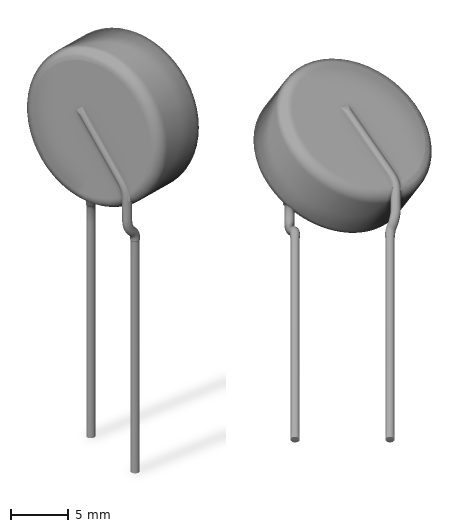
import cadquery as cq
import math

TOTAL_HEIGHT = 40.0
DISC_DIAMETER = 15.0
DISC_THICKNESS = 6.4
DISC_EDGE_RADIUS = 1.0
disc_radius = DISC_DIAMETER / 2
disc_face = DISC_THICKNESS / 2

TOTAL_THICKNESS = 6.8
COATED_DIAMETER = 0.9
BARE_DIAMETER = 0.8
LEAD_OFFSET_X = DISC_DIAMETER / 4
BARE_OFFSET_Y = 1.8
coated_radius = COATED_DIAMETER / 2
bare_radius = BARE_DIAMETER / 2
lead_height = TOTAL_THICKNESS / 2 - disc_face
coated_offset_y = TOTAL_THICKNESS / 2 - coated_radius

CORNER_DROP = 4.9
SLANT_OVERRUN = 2.15
SLANT_BEND_RADIUS = 2.6
FACE_FILLET = 0.3
END_RAMP_LENGTH = 0.5
slant_angle = math.atan2(LEAD_OFFSET_X, CORNER_DROP)
slant_sin = math.sin(slant_angle)
slant_cos = math.cos(slant_angle)
slant_tangent = SLANT_BEND_RADIUS * math.tan(slant_angle / 2)

CRIMP_TOP_DROP = 7.8
CRIMP_ANGLE = math.radians(57)
UPPER_CRIMP_RADIUS = 1.6
COATED_TAIL = 0.1
COATING_TAPER = 0.1
crimp_shift = coated_offset_y - BARE_OFFSET_Y
lower_crimp_radius = crimp_shift / (1 - math.cos(CRIMP_ANGLE)) - UPPER_CRIMP_RADIUS

lead_bottom = disc_radius - TOTAL_HEIGHT
slant_bend_bottom = -CORNER_DROP - slant_tangent
crimp_bottom = -CRIMP_TOP_DROP - (UPPER_CRIMP_RADIUS + lower_crimp_radius) * math.sin(CRIMP_ANGLE)
coated_bottom = crimp_bottom - COATED_TAIL
taper_bottom = coated_bottom - COATING_TAPER

slant_start = (-SLANT_OVERRUN * slant_sin, SLANT_OVERRUN * slant_cos)
slant_end = (
    LEAD_OFFSET_X - slant_tangent * slant_sin,
    -CORNER_DROP + slant_tangent * slant_cos,
)


def make_disc():
    disc = cq.Workplane("XZ", origin=(0, disc_face, 0)).circle(disc_radius).extrude(DISC_THICKNESS)
    return disc.edges().fillet(DISC_EDGE_RADIUS)


def slant_edges():
    """Centre line of the slanted run and its bend, down to where the wire hangs straight."""
    y = -coated_offset_y
    start = cq.Vector(slant_start[0], y, slant_start[1])
    bend_start = cq.Vector(slant_end[0], y, slant_end[1])
    bend_end = cq.Vector(LEAD_OFFSET_X, y, slant_bend_bottom)
    direction = cq.Vector(slant_sin, 0, -slant_cos)
    return [
        cq.Edge.makeLine(start, bend_start),
        cq.Edge.makeTangentArc(bend_start, direction, bend_end),
    ]


def hanging_edges():
    """Centre line of the coated wire below the slanted run, with the crimp."""
    x = LEAD_OFFSET_X
    straight_start = cq.Vector(x, -coated_offset_y, slant_bend_bottom)
    crimp_start = cq.Vector(x, -coated_offset_y, -CRIMP_TOP_DROP)
    crimp_middle = cq.Vector(
        x,
        -coated_offset_y + UPPER_CRIMP_RADIUS * (1 - math.cos(CRIMP_ANGLE)),
        -CRIMP_TOP_DROP - UPPER_CRIMP_RADIUS * math.sin(CRIMP_ANGLE),
    )
    crimp_end = cq.Vector(x, -BARE_OFFSET_Y, crimp_bottom)
    tail_end = cq.Vector(x, -BARE_OFFSET_Y, coated_bottom)
    down = cq.Vector(0, 0, -1)
    crimp_direction = cq.Vector(0, math.sin(CRIMP_ANGLE), -math.cos(CRIMP_ANGLE))
    return [
        cq.Edge.makeLine(straight_start, crimp_start),
        cq.Edge.makeTangentArc(crimp_start, down, crimp_middle),
        cq.Edge.makeTangentArc(crimp_middle, crimp_direction, crimp_end),
        cq.Edge.makeLine(crimp_end, tail_end),
    ]


def slant_plane():
    """Plane across the start of the slanted run, with local y pointing out of the disc face."""
    return cq.Plane(
        origin=(slant_start[0], -coated_offset_y, slant_start[1]),
        xDir=(slant_cos, 0, slant_sin),
        normal=(slant_sin, 0, -slant_cos),
    )


def make_face_fillet():
    """Concave blend between the slanted wire and the disc face."""
    face = disc_face - coated_offset_y
    root = face - coated_radius
    arc_centre_y = face + FACE_FILLET
    reach = coated_radius + FACE_FILLET
    foot = math.sqrt(reach**2 - arc_centre_y**2)
    touch_x = foot * coated_radius / reach
    touch_y = arc_centre_y * coated_radius / reach
    half_arc = math.acos(arc_centre_y / reach) / 2
    waist_x = foot - FACE_FILLET * math.sin(half_arc)
    waist_y = arc_centre_y - FACE_FILLET * math.cos(half_arc)
    profile = (
        cq.Workplane(slant_plane())
        .moveTo(-foot, root)
        .lineTo(foot, root)
        .lineTo(foot, face)
        .threePointArc((waist_x, waist_y), (touch_x, touch_y))
        .lineTo(-touch_x, touch_y)
        .threePointArc((-waist_x, waist_y), (-foot, face))
        .close()
    )
    return profile.sweep(cq.Workplane(cq.Wire.assembleEdges(slant_edges())))


def make_end_ramp_cutter():
    """Wedge that slopes the free end of the slanted run down to the disc face."""
    plane = cq.Plane(
        origin=(slant_start[0], -disc_face, slant_start[1]),
        xDir=(slant_sin, 0, -slant_cos),
        normal=(slant_cos, 0, slant_sin),
    )
    return (
        cq.Workplane(plane)
        .polyline([(0, 0), (END_RAMP_LENGTH, -lead_height), (0, -lead_height)])
        .close()
        .extrude(COATED_DIAMETER, both=True)
    )


def make_lead():
    path = cq.Workplane(cq.Wire.assembleEdges(slant_edges() + hanging_edges()))
    coated = cq.Workplane(slant_plane()).circle(coated_radius).sweep(path)
    bare = (
        cq.Workplane("XY", origin=(LEAD_OFFSET_X, -BARE_OFFSET_Y, lead_bottom))
        .circle(bare_radius)
        .extrude(taper_bottom - lead_bottom)
    )
    taper = (
        cq.Workplane("XY", origin=(LEAD_OFFSET_X, -BARE_OFFSET_Y, taper_bottom))
        .circle(bare_radius)
        .workplane(offset=COATING_TAPER)
        .circle(coated_radius)
        .loft()
    )
    lead = coated.union(taper).union(bare).union(make_face_fillet())
    return lead.cut(make_end_ramp_cutter())


front_lead = make_lead()
back_lead = front_lead.rotate((0, 0, 0), (0, 0, 1), 180)
result = make_disc().union(front_lead).union(back_lead)